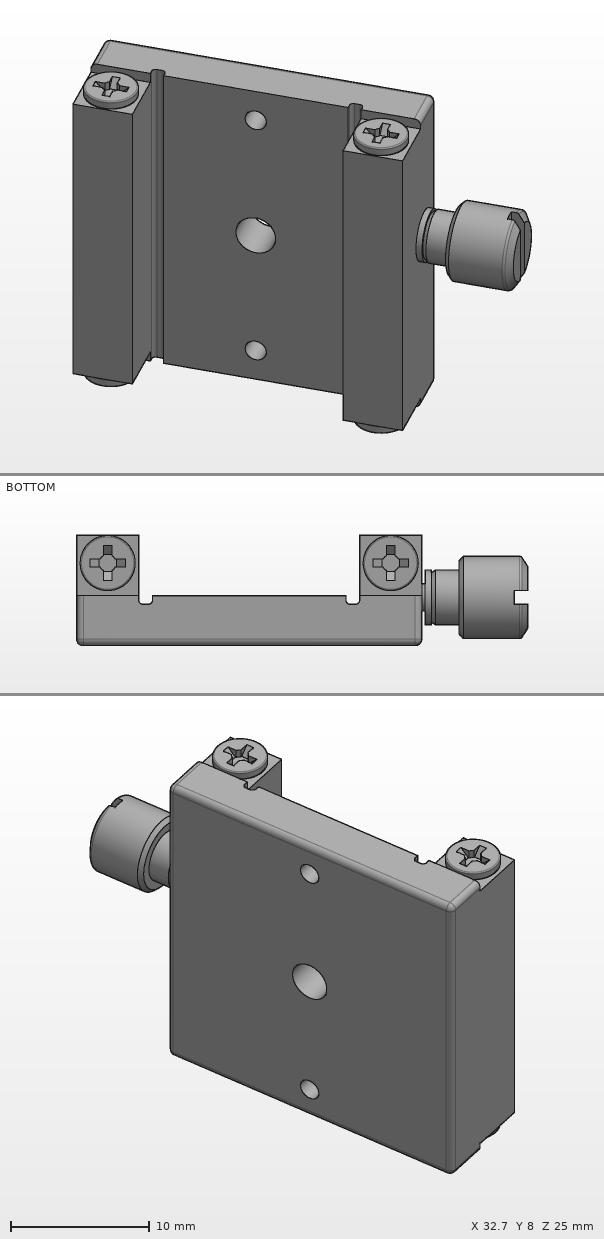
import cadquery as cq

body_side = 25.0
body_depth = 8.0
plate_thickness = 3.63
rail_width = 4.5
rail_setback = 0.8
edge_radius = 0.5

groove_width = 0.98
groove_floor_thickness = 3.0
groove_corner_radius = 0.3

center_hole_diameter = 3.0
side_hole_diameter = 1.6
side_hole_offset = 10.0

screw_head_diameter = 4.0
screw_head_height = 0.7
screw_head_rounding = 0.1
screw_axis_height = 2.03
recess_span = 2.55
recess_arm_width = 0.6
recess_floor_span = 1.25
recess_depth = 0.65

overall_length = 32.7
thumb_axis_depth = 3.5
thumb_axis_drop = 10.0
neck_diameter = 2.0
neck_length = 0.23
collar_diameter = 4.0
collar_width = 0.45
collar_groove_depth = 0.2
collar_groove_width = 0.3
knob_diameter = 6.0
knob_length = 5.0
knob_inner_chamfer = 0.33
knob_end_length = 0.5
knob_end_diameter = 4.45
knob_end_rounding = 0.23
slot_width = 0.98
slot_depth = 0.98

half_side = body_side / 2
rail_inner_x = half_side - rail_width
rail_length = body_side - 2 * rail_setback


def make_plate():
    plate = cq.Workplane("XY").box(
        body_side, plate_thickness, body_side, centered=(True, False, True)
    ).translate((0, -plate_thickness, 0))
    return plate.edges("|Y").fillet(edge_radius).faces(">Y").edges().fillet(edge_radius)


def make_rail(side):
    rail_depth = body_depth - plate_thickness
    center_x = side * (half_side - rail_width / 2)
    return cq.Workplane("XY").box(rail_width, rail_depth, rail_length).translate(
        (center_x, -plate_thickness - rail_depth / 2, 0)
    )


def make_groove(side):
    groove_depth = plate_thickness - groove_floor_thickness
    groove = cq.Workplane("XY").box(groove_width, groove_depth, body_side)
    groove = groove.faces(">Y").edges("|Z").fillet(groove_corner_radius)
    center_x = side * (rail_inner_x - groove_width / 2)
    return groove.translate((center_x, -groove_floor_thickness - groove_depth / 2, 0))


def make_plate_hole(diameter, z):
    return cq.Workplane("XZ").center(0, z).circle(diameter / 2).extrude(plate_thickness)


def make_recess():
    """Cross recess below Z = 0: four arms with sloping ends around a flat floor."""
    half_span = recess_span / 2
    half_floor = recess_floor_span / 2
    arm = (
        cq.Workplane("XZ")
        .polyline([
            (-half_span, 0),
            (half_span, 0),
            (half_floor, -recess_depth),
            (-half_floor, -recess_depth),
        ])
        .close()
        .extrude(recess_arm_width / 2, both=True)
    )
    core = cq.Workplane("XY").circle(half_floor).extrude(-recess_depth)
    return arm.union(arm.rotate((0, 0, 0), (0, 0, 1), 90)).union(core)


def make_screw_head():
    """Screw head standing on Z = 0, with its recess in the top."""
    head = cq.Workplane("XY").circle(screw_head_diameter / 2).extrude(screw_head_height)
    head = head.edges().fillet(screw_head_rounding)
    return head.cut(make_recess().translate((0, 0, screw_head_height)))


def make_thumb_screw():
    """Thumb screw turned about its own axis, slotted across the outer end."""
    knob_end = overall_length - half_side
    knob_end_start = knob_end - knob_end_length
    knob_start = knob_end - knob_length
    collar_start = half_side + neck_length
    collar_end = collar_start + collar_width
    collar_radius = collar_diameter / 2
    knob_radius = knob_diameter / 2
    neck_start = half_side - edge_radius
    profile = [
        (neck_start, 0),
        (neck_start, neck_diameter / 2),
        (collar_start, neck_diameter / 2),
        (collar_start, collar_radius),
        (collar_end, collar_radius),
        (collar_end, collar_radius - collar_groove_depth),
        (collar_end + collar_groove_width, collar_radius),
        (knob_start, collar_radius),
        (knob_start, knob_radius - knob_inner_chamfer),
        (knob_start + knob_inner_chamfer, knob_radius),
        (knob_end_start, knob_radius),
        (knob_end, knob_end_diameter / 2),
        (knob_end, 0),
    ]
    screw = (
        cq.Workplane("XY")
        .polyline(profile)
        .close()
        .revolve(360, (0, 0, 0), (1, 0, 0))
    )
    end_rim = cq.NearestToPointSelector((knob_end_start, 0, 0))
    screw = screw.edges(end_rim).fillet(knob_end_rounding)
    slot = cq.Workplane("XY").box(2 * slot_depth, slot_width, knob_diameter)
    screw = screw.cut(slot.translate((knob_end, 0, 0)))
    return screw.translate((0, -thumb_axis_depth, half_side - thumb_axis_drop))


result = make_plate()
for side in (-1, 1):
    result = result.union(make_rail(side)).cut(make_groove(side))

result = result.cut(make_plate_hole(center_hole_diameter, 0))
for end in (-1, 1):
    result = result.cut(make_plate_hole(side_hole_diameter, end * side_hole_offset))

upper_head = make_screw_head().translate((0, 0, rail_length / 2))
lower_head = upper_head.mirror("XY")
for side in (-1, 1):
    head_position = (side * (half_side - rail_width / 2), screw_axis_height - body_depth, 0)
    for head in (upper_head, lower_head):
        result = result.union(head.translate(head_position))

result = result.union(make_thumb_screw())